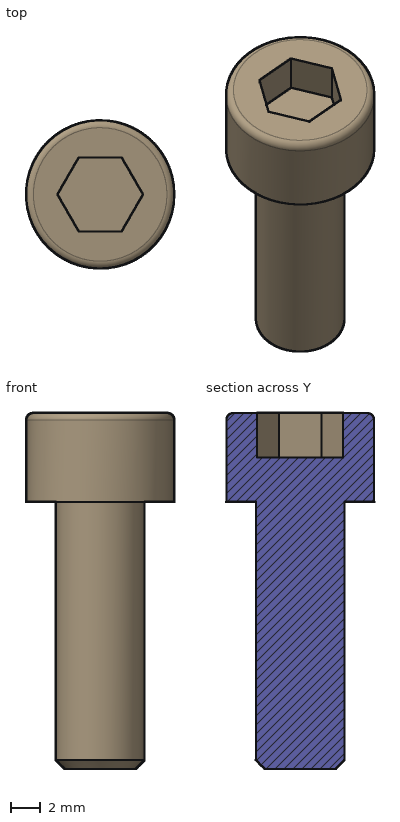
import cadquery as cq
import math

total_length = 24.0
shank_diameter = 6.0
head_diameter = 10.0
head_height = shank_diameter
shank_length = total_length - head_height

head_fillet = 0.5
tip_chamfer = 0.6

socket_across_flats = 5.0
socket_depth = 3.0


def make_head():
    """Cylindrical head with a rounded top rim."""
    head = cq.Workplane("XY").circle(head_diameter / 2).extrude(head_height)
    return head.faces(">Z").edges().fillet(head_fillet)


def make_shank():
    """Plain shank below the head, chamfered at the tip."""
    shank = cq.Workplane("XY").circle(shank_diameter / 2).extrude(-shank_length)
    return shank.faces("<Z").edges().chamfer(tip_chamfer)


def make_socket():
    """Hexagonal drive socket with two corners on the X axis."""
    across_corners = socket_across_flats / math.cos(math.pi / 6)
    top = cq.Workplane("XY").workplane(offset=head_height)
    return top.polygon(6, across_corners).extrude(-socket_depth)


result = make_head().union(make_shank()).cut(make_socket())